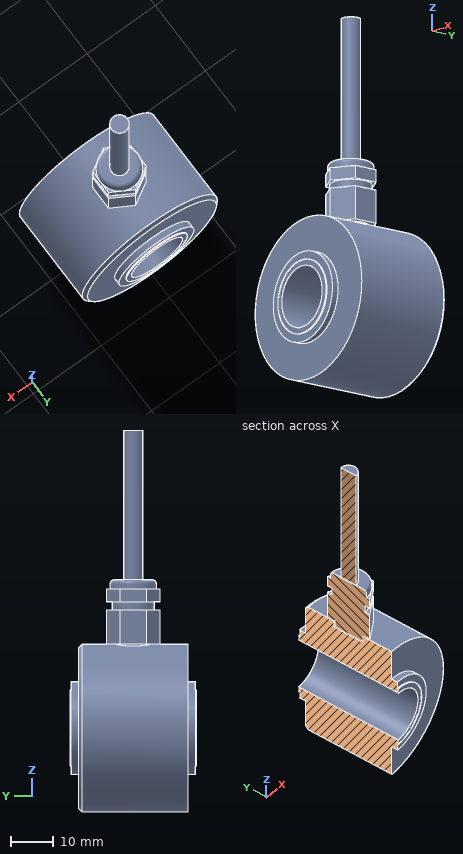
import cadquery as cq
import math

ring_diameter = 39.7
ring_width = 26.0
ring_chamfer = 0.9
overall_width = 30.0
collar_diameter = 22.0
lip_diameter = 18.0
lip_height = 0.3
bore_diameter = 15.0
collar_width = overall_width - 2 * lip_height

ring_top = ring_diameter / 2
hex_across_flats = 11.0
hex_across_corners = hex_across_flats / math.cos(math.pi / 6)
hex_body_height = 8.1
groove_diameter = 10.0
groove_height = 1.9
nut_height = 3.1
cap_diameter = hex_across_flats
cap_height = 2.2
cap_fillet = 1.1
stub_diameter = 8.5
stub_depth = 1.8

overall_height = 90.3
cable_diameter = 4.6

stub_bottom = ring_top - stub_depth
groove_bottom = ring_top + hex_body_height
nut_bottom = groove_bottom + groove_height
cap_bottom = nut_bottom + nut_height
cap_top = cap_bottom + cap_height
cable_top = overall_height - ring_diameter / 2


def cross_disc(diameter, width):
    """Disc with its axis along Y, centred on the origin."""
    return cq.Workplane("XZ").circle(diameter / 2).extrude(width / 2, both=True)


def upright_rod(diameter, bottom, height):
    """Round rod with its axis along Z."""
    return cq.Workplane("XY").workplane(offset=bottom).circle(diameter / 2).extrude(height)


def upright_hexagon(bottom, height):
    """Hexagonal prism along Z, with flats facing X and corners pointing along Y."""
    base = cq.Workplane("XY").workplane(offset=bottom).transformed(rotate=(0, 0, 90))
    return base.polygon(6, hex_across_corners).extrude(height)


def make_sensor_ring():
    """Ring with a chamfered back rim, a lipped collar on each side and a through bore."""
    body = cross_disc(ring_diameter, ring_width).faces(">Y").edges().chamfer(ring_chamfer)
    body = body.union(cross_disc(collar_diameter, collar_width))
    body = body.union(cross_disc(lip_diameter, overall_width))
    body = body.cut(cross_disc(bore_diameter, overall_width))
    return body.cut(upright_rod(stub_diameter, stub_bottom, stub_depth))


def make_gland():
    """Stub, hexagonal body, round groove, hexagonal nut and rounded cap."""
    cap = upright_rod(cap_diameter, cap_bottom, cap_height).faces(">Z").edges().fillet(cap_fillet)
    return (
        upright_rod(stub_diameter, stub_bottom, stub_depth)
        .union(upright_hexagon(ring_top, hex_body_height))
        .union(upright_rod(groove_diameter, groove_bottom, groove_height))
        .union(upright_hexagon(nut_bottom, nut_height))
        .union(cap)
    )


def make_cable():
    """Plain round cable standing on the gland cap."""
    return upright_rod(cable_diameter, cap_top, cable_top - cap_top)


sensor_ring = make_sensor_ring()
gland = make_gland()
cable = make_cable()

result = cq.Compound.makeCompound([sensor_ring.val(), gland.val(), cable.val()])